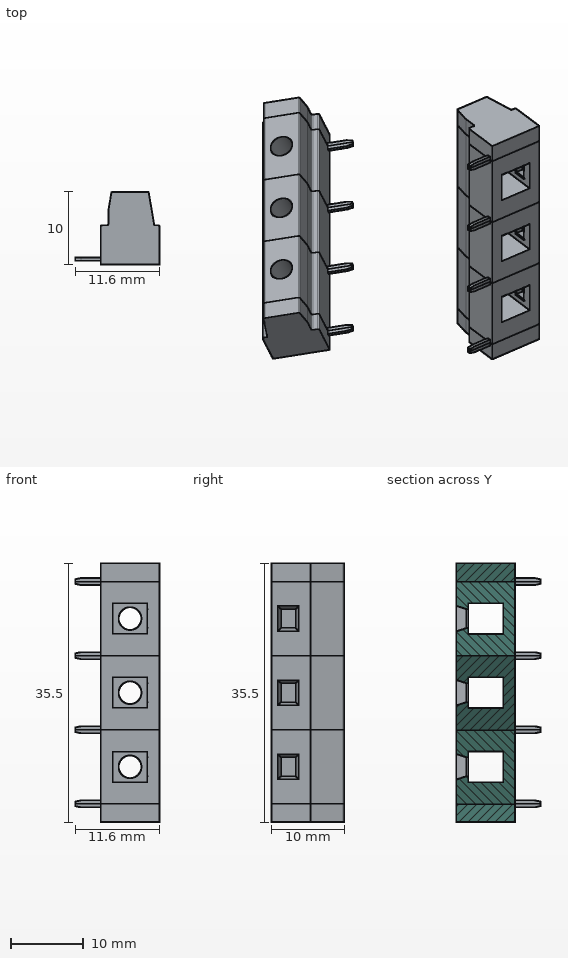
import cadquery as cq

HOUSING_WIDTH = 8.1
HOUSING_DEPTH = 10.0
HOUSING_HEIGHT = 35.55
MIDDLE_COUNT = 3
PITCH = 10.17
END_HEIGHT = (HOUSING_HEIGHT - MIDDLE_COUNT * PITCH) / 2

LEDGE_Y = 5.4
LEFT_LEDGE = 1.05
LEFT_BEND_Y = 7.43
LEFT_REAR_INSET = 1.5
RIGHT_LEDGE = 0.7
RIGHT_REAR_INSET = 1.5
CORNER_RADIUS = 0.2

POCKET_WIDTH = 4.75
POCKET_HEIGHT = 4.2
POCKET_DEPTH = 4.98
POCKET_X = 4.05
THROUGH_DIAMETER = 3.1

WINDOW_Y = 2.3
WINDOW_DEPTH = 2.0
WINDOW_HEIGHT = 2.55
WINDOW_STRAIGHT = 0.25
FLARE_MARGIN = 0.45
POCKET_RIGHT_X = POCKET_X + POCKET_WIDTH / 2

PIN_LENGTH = 3.5
PIN_WIDTH = 1.0
PIN_TIP_WIDTH = 0.65
PIN_TAPER = 0.8
PIN_THICKNESS = 0.5
PIN_FRONT_Y = 0.5


def make_block(bottom_z, height):
    """Plain slice of the housing profile with rounded ledge and rear corners."""
    right_rear_x = HOUSING_WIDTH - RIGHT_REAR_INSET
    right_step_x = HOUSING_WIDTH - RIGHT_LEDGE
    block = (
        cq.Workplane("XY", origin=(0, 0, bottom_z))
        .polyline([
            (0, 0),
            (HOUSING_WIDTH, 0),
            (HOUSING_WIDTH, LEDGE_Y),
            (right_step_x, LEDGE_Y),
            (right_rear_x, HOUSING_DEPTH),
            (LEFT_REAR_INSET, HOUSING_DEPTH),
            (LEFT_LEDGE, LEFT_BEND_Y),
            (LEFT_LEDGE, LEDGE_Y),
            (0, LEDGE_Y),
        ])
        .close()
        .extrude(height)
    )
    rounded_corners = [
        (HOUSING_WIDTH, LEDGE_Y),
        (right_rear_x, HOUSING_DEPTH),
        (LEFT_REAR_INSET, HOUSING_DEPTH),
        (LEFT_LEDGE, LEDGE_Y),
        (0, LEDGE_Y),
    ]
    middle_z = bottom_z + height / 2
    edges = cq.Workplane("XY")
    for x, y in rounded_corners:
        edges = edges.add(block.edges(cq.NearestToPointSelector((x, y, middle_z))))
    return block.newObject(edges.vals()).fillet(CORNER_RADIUS)


def make_half_pin(joint_z, side):
    """Half of a pin, above (side = 1) or below (side = -1) the joint at joint_z."""
    half_width = side * PIN_WIDTH / 2
    half_tip = side * PIN_TIP_WIDTH / 2
    return (
        cq.Workplane("XZ", origin=(0, PIN_FRONT_Y, joint_z))
        .polyline([
            (0, 0),
            (-PIN_LENGTH, 0),
            (-PIN_LENGTH, half_tip),
            (PIN_TAPER - PIN_LENGTH, half_width),
            (0, half_width),
        ])
        .close()
        .extrude(-PIN_THICKNESS)
    )


def cut_front_opening(block, center_z):
    """Rectangular pocket from the front face and a round hole on through the rear."""
    front = cq.Workplane("XZ", origin=(POCKET_X, 0, center_z))
    pocket = front.rect(POCKET_WIDTH, POCKET_HEIGHT).extrude(-POCKET_DEPTH)
    hole = front.circle(THROUGH_DIAMETER / 2).extrude(-HOUSING_DEPTH)
    return block.cut(pocket).cut(hole)


def cut_side_opening(block, center_z):
    """Window from the pocket to the +X face: a short straight throat, then a flare."""
    throat_start = cq.Workplane("YZ", origin=(POCKET_RIGHT_X, WINDOW_Y, center_z))
    throat = throat_start.rect(WINDOW_DEPTH, WINDOW_HEIGHT).extrude(WINDOW_STRAIGHT)
    flare_length = HOUSING_WIDTH - POCKET_RIGHT_X - WINDOW_STRAIGHT
    flare = (
        throat_start.workplane(offset=WINDOW_STRAIGHT)
        .rect(WINDOW_DEPTH, WINDOW_HEIGHT)
        .workplane(offset=flare_length)
        .rect(WINDOW_DEPTH + 2 * FLARE_MARGIN, WINDOW_HEIGHT + 2 * FLARE_MARGIN)
        .loft(ruled=True)
    )
    return block.cut(throat).cut(flare)


def make_middle_module(bottom_z):
    """Module with openings and a half pin at each of its two joints."""
    center_z = bottom_z + PITCH / 2
    block = make_block(bottom_z, PITCH)
    block = cut_front_opening(block, center_z)
    block = cut_side_opening(block, center_z)
    block = block.union(make_half_pin(bottom_z, 1))
    return block.union(make_half_pin(bottom_z + PITCH, -1))


def make_lower_end():
    """Plain bottom cap with a half pin at its upper joint."""
    return make_block(0, END_HEIGHT).union(make_half_pin(END_HEIGHT, -1))


def make_upper_end():
    """Plain top cap with a half pin at its lower joint."""
    joint_z = HOUSING_HEIGHT - END_HEIGHT
    return make_block(joint_z, END_HEIGHT).union(make_half_pin(joint_z, 1))


lower_end = make_lower_end()
upper_end = make_upper_end()
middle_modules = [make_middle_module(END_HEIGHT + index * PITCH) for index in range(MIDDLE_COUNT)]

result = cq.Compound.makeCompound([
    lower_end.val(),
    *[module.val() for module in middle_modules],
    upper_end.val(),
])